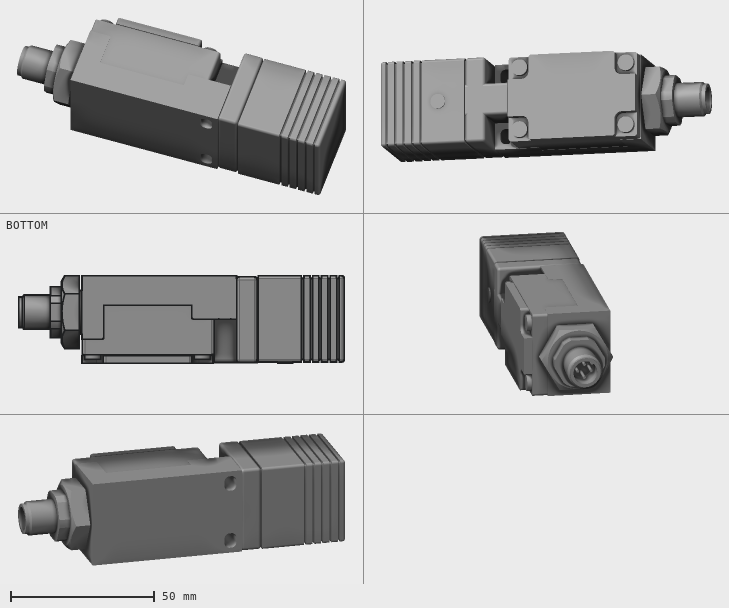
import cadquery as cq
import math


TOTAL_LENGTH = 113.3
BLOCK_SIZE = 30.0
REAR_FACE = 30.5
EDGE_RADIUS = 0.9

AXIS_Y = 12.7
TIP_RADIUS = 5.3
TIP_LENGTH = 1.2
PLUG_RADIUS = 6.0
PLUG_SHOULDER = 1.9
BORE_RADIUS = 4.2
BORE_DEPTH = 9.1
PIN_RADIUS = 0.51
PIN_CIRCLE = 2.4
PIN_RECESS = 2.0
PIN_COUNT = 4
KEY_RADIUS = 0.6
KEY_CIRCLE = 3.9
GLAND_START = 11.0
GLAND_FLATS = 16.8
GLAND_RADIUS = 9.0
NUT_START = 14.8
NUT_FLATS = 22.0
NUT_FACE_RADIUS = 10.7
NUT_CHAMFER_ANGLE = 30
NUT_END = 21.1
NECK_RADIUS = 7.6

HOUSING_START = 22.0
HOUSING_END = 75.8
SEAM_STEP = 0.1
SEAM_RADIUS = 0.6
COVER_START = HOUSING_START + SEAM_STEP
COVER_END = 68
COVER_REAR = 27.4
SEAM_HIGH = 22.1
SEAM_LOW = 10.2
SEAM_MIDDLE = 15.1
SEAM_LEFT = 29.6
SEAM_RIGHT = 60.2

SLOT_X = 71.7
SLOT_Z = 10.5
SLOT_WIDTH = 4.3
SLOT_HEIGHT = 5.3
SLOT_CORNER = 1.8

PLATE_END = 67.6
PLATE_FRONT = 27.8
PLATE_CENTRE_X = (HOUSING_START + PLATE_END) / 2
ARM_HALF_LENGTH = 15.4
ARM_HALF_HEIGHT = 6.6
NOTCH_RADIUS = 2.5
GASKET_INSET = 0.3
SCREW_RADIUS = 2.8
SCREW_TOP = 29.1
SCREW_X_OFFSET = 19.0
SCREW_Z = 11.0

LINK_HEIGHT = 11.3
COLLAR_FRONT = 0.3
COLLAR_REAR = 30.3
COLLAR_END = 82.9
COLLAR_RADIUS = 1.0
HEAD_START = 83.3
GROOVE_DEPTH = 0.9
GROOVE_WIDTH = 0.85
GROOVE_FLOOR_RADIUS = 0.3
GROOVE_PITCH = 3.1
GROOVE_COUNT = 5
FIRST_GROOVE = 98.8
LAMP_X = 92.7
LAMP_RADIUS = 2.6


def block(x0, x1, y0, y1, height=BLOCK_SIZE):
    """Box between two X and two Y positions, centred on Z = 0."""
    return (
        cq.Workplane("XY")
        .box(x1 - x0, y1 - y0, height, centered=(False, False, True))
        .translate((x0, y0, 0))
    )


def rod(x0, x1, radius, y=AXIS_Y, z=0):
    """Cylinder along X."""
    return cq.Workplane("YZ", origin=(x0, y, z)).circle(radius).extrude(x1 - x0)


def hexagon(x0, x1, flats):
    """Hexagonal prism along X on the plug axis, with corners toward +Y and -Y."""
    corner_diameter = flats / math.cos(math.pi / 6)
    return cq.Workplane("YZ", origin=(x0, AXIS_Y, 0)).polygon(6, corner_diameter).extrude(x1 - x0)


def turned(profile):
    """Solid of revolution about the plug axis from (x, radius) points."""
    return (
        cq.Workplane("XY", origin=(0, AXIS_Y, 0))
        .polyline(profile)
        .close()
        .revolve(360, (0, 0, 0), (1, 0, 0))
    )


def make_plug():
    shell = turned([
        (0, 0),
        (0, TIP_RADIUS),
        (TIP_LENGTH, TIP_RADIUS),
        (PLUG_SHOULDER, PLUG_RADIUS),
        (GLAND_START, PLUG_RADIUS),
        (GLAND_START, 0),
    ])
    plug = shell.cut(rod(0, BORE_DEPTH, BORE_RADIUS))
    for i in range(PIN_COUNT):
        angle = 2 * math.pi * i / PIN_COUNT
        y = AXIS_Y + PIN_CIRCLE * math.cos(angle)
        z = PIN_CIRCLE * math.sin(angle)
        plug = plug.union(rod(PIN_RECESS, BORE_DEPTH, PIN_RADIUS, y, z))
    key_offset = KEY_CIRCLE * math.cos(math.pi / 4)
    key = rod(PIN_RECESS, BORE_DEPTH, KEY_RADIUS, AXIS_Y - key_offset, key_offset)
    return plug.union(key)


def make_gland():
    collar = hexagon(GLAND_START, NUT_START, GLAND_FLATS)
    collar = collar.intersect(rod(GLAND_START, NUT_START, GLAND_RADIUS))
    slope = math.tan(math.radians(NUT_CHAMFER_ANGLE))
    nut_end_radius = NUT_FACE_RADIUS + (NUT_END - NUT_START) / slope
    cone = turned([
        (NUT_START, 0),
        (NUT_START, NUT_FACE_RADIUS),
        (NUT_END, nut_end_radius),
        (NUT_END, 0),
    ])
    nut = hexagon(NUT_START, NUT_END, NUT_FLATS).intersect(cone)
    neck = rod(NUT_END, HOUSING_START, NECK_RADIUS)
    return collar.union(nut).union(neck)


def make_housing():
    outline = [
        (HOUSING_START, 0),
        (HOUSING_END, 0),
        (HOUSING_END, SEAM_MIDDLE),
        (SEAM_RIGHT, SEAM_MIDDLE),
        (SEAM_RIGHT, SEAM_LOW),
        (SEAM_LEFT, SEAM_LOW),
        (SEAM_LEFT, SEAM_HIGH),
        (HOUSING_START, SEAM_HIGH),
    ]
    housing = cq.Workplane("XY").polyline(outline).close().extrude(BLOCK_SIZE / 2, both=True)
    for x, y in [(SEAM_LEFT, SEAM_HIGH), (SEAM_RIGHT, SEAM_MIDDLE)]:
        corner = cq.selectors.NearestToPointSelector((x, y, 0))
        housing = housing.edges(corner).fillet(SEAM_RADIUS)
    slots = (
        cq.Workplane("XZ")
        .pushPoints([(SLOT_X, SLOT_Z), (SLOT_X, -SLOT_Z)])
        .rect(SLOT_WIDTH, SLOT_HEIGHT)
        .extrude(-SEAM_MIDDLE)
        .edges("|Y")
        .fillet(SLOT_CORNER)
    )
    return housing.cut(slots)


def make_cover():
    cover = block(COVER_START, COVER_END, SEAM_LOW / 2, COVER_REAR, BLOCK_SIZE - 2 * SEAM_STEP)
    return cover.edges("|Y").fillet(EDGE_RADIUS)


def plate_outline(inset, y0, y1):
    """Cross-shaped slab with rounded inner corners, its outer ends pulled in by the inset."""
    half_length = (PLATE_END - HOUSING_START) / 2 - inset
    height = BLOCK_SIZE - 2 * inset
    long_arm = block(-half_length, half_length, y0, y1, 2 * ARM_HALF_HEIGHT)
    tall_arm = block(-ARM_HALF_LENGTH, ARM_HALF_LENGTH, y0, y1, height)
    tall_arm = tall_arm.edges("|Y").fillet(EDGE_RADIUS)
    cross = long_arm.union(tall_arm)
    inner = cq.selectors.BoxSelector(
        (-ARM_HALF_LENGTH - EDGE_RADIUS, y0, -ARM_HALF_HEIGHT - EDGE_RADIUS),
        (ARM_HALF_LENGTH + EDGE_RADIUS, y1, ARM_HALF_HEIGHT + EDGE_RADIUS),
    )
    cross = cross.edges("|Y").edges(inner).fillet(NOTCH_RADIUS)
    return cross.translate((PLATE_CENTRE_X, 0, 0))


def make_plate():
    gasket = plate_outline(GASKET_INSET, COVER_REAR, PLATE_FRONT)
    plate = plate_outline(0, PLATE_FRONT, REAR_FACE).union(gasket)
    screws = (
        cq.Workplane("XZ", origin=(PLATE_CENTRE_X, COVER_REAR, 0))
        .rect(2 * SCREW_X_OFFSET, 2 * SCREW_Z, forConstruction=True)
        .vertices()
        .circle(SCREW_RADIUS)
        .extrude(COVER_REAR - SCREW_TOP)
    )
    return plate.union(screws)


def make_link():
    link = block(COVER_END, COLLAR_END, SEAM_LOW, COLLAR_REAR, LINK_HEIGHT)
    return link.edges("|X and >Y").fillet(COLLAR_RADIUS)


def make_collar():
    collar = block(HOUSING_END, COLLAR_END, COLLAR_FRONT, COLLAR_REAR)
    return collar.edges().fillet(COLLAR_RADIUS)


def make_groove():
    """Round-bottomed ring that cuts one groove around the head, centred on X = 0."""
    half_width = GROOVE_WIDTH / 2
    core_front = GROOVE_DEPTH
    core_rear = BLOCK_SIZE - GROOVE_DEPTH
    core = block(-half_width, half_width, core_front, core_rear, BLOCK_SIZE - 2 * GROOVE_DEPTH)
    ring = block(-half_width, half_width, 0, BLOCK_SIZE).cut(core)
    reach = BLOCK_SIZE / 2 - GROOVE_DEPTH / 2
    middle_y = BLOCK_SIZE / 2
    near_core = cq.selectors.BoxSelector(
        (-GROOVE_WIDTH, middle_y - reach, -reach),
        (GROOVE_WIDTH, middle_y + reach, reach),
    )
    return ring.edges("#X").edges(near_core).fillet(GROOVE_FLOOR_RADIUS)


def make_head():
    head = block(HEAD_START, TOTAL_LENGTH, 0, BLOCK_SIZE)
    head = head.edges("|X or >X").fillet(EDGE_RADIUS)
    groove = make_groove()
    for i in range(GROOVE_COUNT):
        head = head.cut(groove.translate((FIRST_GROOVE + i * GROOVE_PITCH, 0, 0)))
    lamp = (
        cq.Workplane("XZ", origin=(LAMP_X, BLOCK_SIZE, 0))
        .circle(LAMP_RADIUS)
        .extrude(BLOCK_SIZE - REAR_FACE)
    )
    spigot = block(
        COLLAR_END,
        HEAD_START,
        COLLAR_FRONT + COLLAR_RADIUS,
        COLLAR_REAR - COLLAR_RADIUS,
        BLOCK_SIZE - 2 * COLLAR_RADIUS,
    )
    return head.union(lamp).union(spigot)


result = (
    make_housing()
    .union(make_cover())
    .union(make_plate())
    .union(make_link())
    .union(make_collar())
    .union(make_head())
    .union(make_gland())
    .union(make_plug())
)